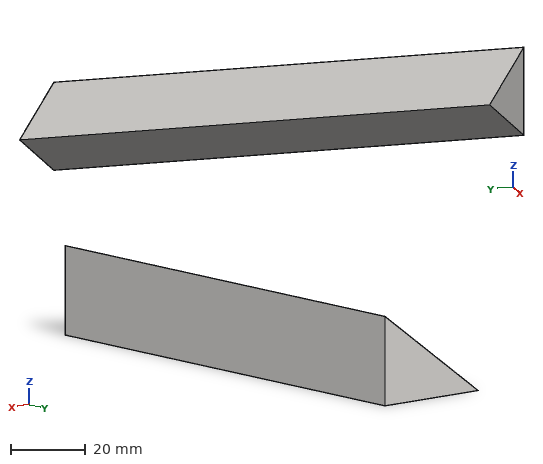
import cadquery as cq

depth = 33.02
length = 131.06
height = 24.46

result = (
    cq.Workplane("XZ")
    .polyline([(0, 0), (depth, 0), (depth, height)])
    .close()
    .extrude(length / 2, both=True)
)